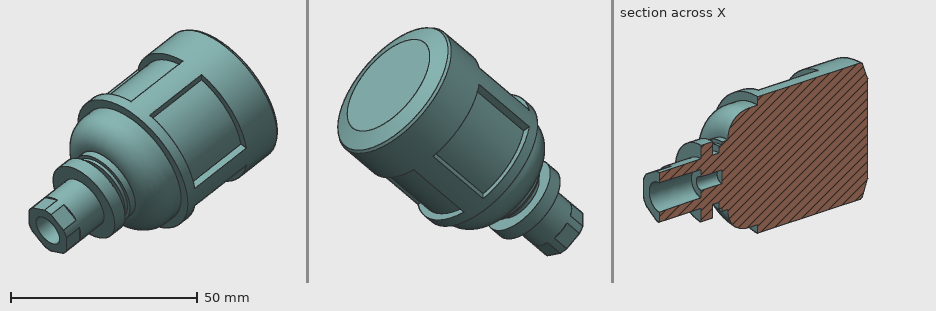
import cadquery as cq
import math

flats_end = 5.0
flange_start = 14.0
flange_end = 18.0
neck_end = 20.0
step_end = 21.0
dome_start = 23.0
sleeve_start = 33.0
pocket_start = 36.0
pocket_end = 56.0
edge_start = 67.5
cone_start = 68.25
total_length = 70.0

stem_radius = 15.0 / 2
flange_radius = 23.0 / 2
step_radius = 19.0 / 2
collar_radius = 21.0 / 2
dome_radius = 36.0 / 2
dome_fillet = 7.0
sleeve_radius = 41.0 / 2
cone_base_radius = 20.0
end_face_radius = 15.0

flat_count = 6
across_flats = 14.0
pocket_count = 4
pocket_floor_radius = 18.5
rib_width = 7.0
bore_mouth_radius = 8.75 / 2
bore_end_radius = 8.3 / 2
bore_depth = flange_start
drill_depth = step_end
drill_radius = 4.0 / 2


def revolve_about_y(profile):
    return profile.close().revolve(360, (0, 0, 0), (0, 1, 0))


def ring(inner_radius, outer_radius, start, end):
    """Ring (or disc, for a zero inner radius) around the Y axis."""
    profile = (
        cq.Workplane("XY")
        .moveTo(inner_radius, start)
        .lineTo(outer_radius, start)
        .lineTo(outer_radius, end)
        .lineTo(inner_radius, end)
    )
    return revolve_about_y(profile)


def turned_body():
    fillet_center_radius = dome_radius - dome_fillet
    fillet_center_y = dome_start + dome_fillet
    diagonal = dome_fillet * math.sqrt(0.5)
    profile = (
        cq.Workplane("XY")
        .moveTo(0, 0)
        .lineTo(stem_radius, 0)
        .lineTo(stem_radius, flange_start)
        .lineTo(flange_radius, flange_start)
        .lineTo(flange_radius, flange_end)
        .lineTo(stem_radius, flange_end)
        .lineTo(stem_radius, neck_end)
        .lineTo(step_radius, neck_end)
        .lineTo(step_radius, step_end)
        .lineTo(collar_radius, step_end)
        .lineTo(collar_radius, dome_start)
        .lineTo(fillet_center_radius, dome_start)
        .threePointArc(
            (fillet_center_radius + diagonal, fillet_center_y - diagonal),
            (dome_radius, fillet_center_y),
        )
        .lineTo(dome_radius, sleeve_start)
        .lineTo(sleeve_radius, sleeve_start)
        .lineTo(sleeve_radius, edge_start)
        .lineTo(cone_base_radius, cone_start)
        .lineTo(end_face_radius, total_length)
        .lineTo(0, total_length)
    )
    return revolve_about_y(profile)


def wrench_flat_cut():
    """Material outside the hexagon at the stem end; two flats face +X and -X."""
    cut = ring(0, 2 * stem_radius, 0, flats_end)
    for index in range(flat_count // 2):
        slab = cq.Workplane("XY").box(across_flats, 2 * flats_end, 4 * stem_radius)
        slab = slab.rotate((0, 0, 0), (0, 1, 0), index * 360 / flat_count)
        hexagon = slab if index == 0 else hexagon.intersect(slab)
    return cut.cut(hexagon)


def pocket_cut():
    """Four shallow pockets, separated by ribs centred on the X and Z axes."""
    cut = ring(pocket_floor_radius, 2 * sleeve_radius, pocket_start, pocket_end)
    rib_span = 4 * sleeve_radius
    for index in range(pocket_count // 2):
        ribs = cq.Workplane("XY").box(rib_span, 2 * total_length, rib_width)
        cut = cut.cut(ribs.rotate((0, 0, 0), (0, 1, 0), index * 360 / pocket_count))
    return cut


def bore_cut():
    """Slightly tapered socket followed by a narrow blind hole."""
    socket_profile = (
        cq.Workplane("XY")
        .moveTo(0, 0)
        .lineTo(bore_mouth_radius, 0)
        .lineTo(bore_end_radius, bore_depth)
        .lineTo(0, bore_depth)
    )
    return revolve_about_y(socket_profile).union(ring(0, drill_radius, 0, drill_depth))


result = turned_body().cut(wrench_flat_cut()).cut(pocket_cut()).cut(bore_cut())